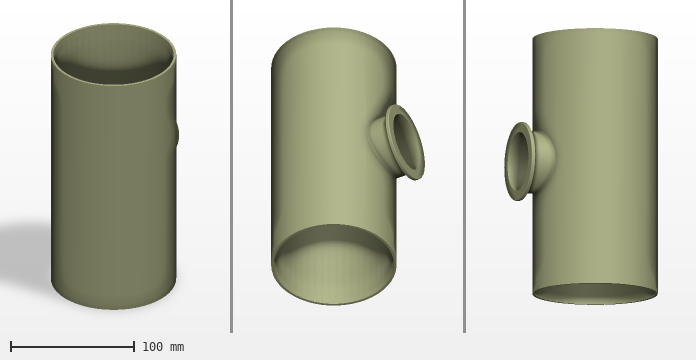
import cadquery as cq
import math

TUBE_LENGTH = 209.5
TUBE_OUTER_DIAMETER = 101.6
TUBE_BORE_DIAMETER = 97.5

BRANCH_OUTER_DIAMETER = 50.7
BRANCH_BORE_DIAMETER = 47.5
BRANCH_PROJECTION = 16.0
WELD_RADIUS = 1.9

FLANGE_DIAMETER = 64.0
RIM_THICKNESS = 3.0
RIM_ROUNDING = 0.6
FLANGE_BACK_ANGLE = 20.0
FLANGE_ROOT_RADIUS = 0.8
FERRULE_LENGTH = 12.5

tube_radius = TUBE_OUTER_DIAMETER / 2
branch_radius = BRANCH_OUTER_DIAMETER / 2
bore_radius = BRANCH_BORE_DIAMETER / 2
flange_radius = FLANGE_DIAMETER / 2
clamp_face_y = tube_radius + BRANCH_PROJECTION
joint_y = clamp_face_y - FERRULE_LENGTH


def make_stubbed_tube():
    """Tube with a plain stub, blended at the weld and bored right through the wall."""
    tube = cq.Workplane("XY").circle(tube_radius).extrude(TUBE_LENGTH / 2, both=True)
    stub = cq.Workplane("XZ").circle(branch_radius).extrude(-joint_y)
    weld_box = cq.selectors.BoxSelector(
        (-branch_radius - WELD_RADIUS, 0, -branch_radius - WELD_RADIUS),
        (branch_radius + WELD_RADIUS, joint_y - WELD_RADIUS / 2, branch_radius + WELD_RADIUS),
    )
    body = tube.union(stub).edges(weld_box).fillet(WELD_RADIUS)
    tube_bore = cq.Workplane("XY").circle(TUBE_BORE_DIAMETER / 2).extrude(TUBE_LENGTH / 2, both=True)
    branch_bore = cq.Workplane("XZ").circle(bore_radius).extrude(-joint_y)
    return body.cut(tube_bore).cut(branch_bore)


def make_ferrule():
    """Short pipe with a clamp flange: rounded rim, sloping back and rounded root."""
    overhang = flange_radius - branch_radius
    rim_back_y = clamp_face_y - RIM_THICKNESS
    root_y = rim_back_y - overhang * math.tan(math.radians(FLANGE_BACK_ANGLE))
    profile = (
        cq.Workplane("XY")
        .moveTo(bore_radius, joint_y)
        .lineTo(branch_radius, joint_y)
        .lineTo(branch_radius, root_y)
        .lineTo(flange_radius, rim_back_y)
        .lineTo(flange_radius, clamp_face_y)
        .lineTo(bore_radius, clamp_face_y)
        .close()
    )
    ferrule = profile.revolve(360, (0, 0), (0, 1))
    root_edge = cq.selectors.BoxSelector(
        (-flange_radius, root_y - FLANGE_ROOT_RADIUS, -flange_radius),
        (flange_radius, root_y + FLANGE_ROOT_RADIUS, flange_radius),
    )
    rim_edges = cq.selectors.RadiusNthSelector(-1)
    return ferrule.edges(root_edge).fillet(FLANGE_ROOT_RADIUS).edges(rim_edges).fillet(RIM_ROUNDING)


result = make_stubbed_tube().union(make_ferrule(), clean=False)